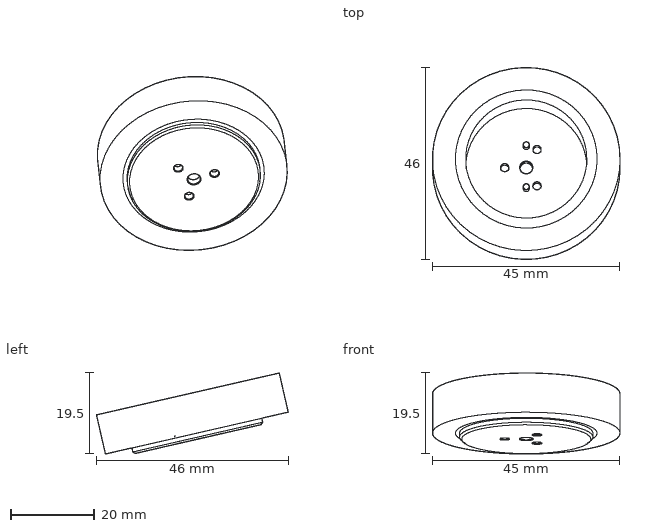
import cadquery as cq

tilt_angle = -12.9

ring_diameter = 45.0
ring_height = 9.65

hub_diameter = 33.95
cup_diameter = 29.05
boss_diameter = 32.0
boss_height = 1.45
boss_chamfer = 0.5
floor_thickness = 2.0

center_hole_diameter = 3.0
center_hole_upper_chamfer = 0.1
hole_lower_chamfer = 0.2
circle_radius = 5.15
screw_hole_diameter = 2.0
screw_hole_count = 3
first_screw_hole_angle = 180.0
pin_diameter = 1.5
pin_height = 2.0
pin_chamfer = 0.1
pin_count = 2
first_pin_angle = 90.0

floor_level = floor_thickness - boss_height


def disc(diameter, height, base_level):
    """Upright cylinder on the wheel axis, standing on base_level."""
    return cq.Workplane("XY").workplane(offset=base_level).circle(diameter / 2).extrude(height)


def mouth(hole_diameter, chamfer):
    """Upward 45 degree taper, wide end at Z = 0, that chamfers the lower end of a hole."""
    hole_radius = hole_diameter / 2
    return cq.Workplane(cq.Solid.makeCone(hole_radius + chamfer, hole_radius, chamfer))


def through_hole(diameter):
    """Cutter on the wheel axis for a hole through the floor, chamfered at the underside."""
    lower_mouth = mouth(diameter, hole_lower_chamfer).translate((0, 0, -boss_height))
    return disc(diameter, floor_thickness, -boss_height).union(lower_mouth)


def make_ring():
    """Plain ring whose bore matches the hub; its underside lies at Z = 0."""
    bore = disc(hub_diameter, ring_height, 0)
    return disc(ring_diameter, ring_height, 0).cut(bore)


def make_pins():
    """Two pins standing on the cup floor, each with a chamfered tip."""
    return (
        cq.Workplane("XY")
        .workplane(offset=floor_level)
        .polarArray(circle_radius, first_pin_angle, 360, pin_count)
        .circle(pin_diameter / 2)
        .extrude(pin_height)
        .faces(">Z")
        .chamfer(pin_chamfer)
    )


def cut_center_hole(hub):
    """Through hole on the axis, chamfered at both ends."""
    upper_mouth = mouth(center_hole_diameter, center_hole_upper_chamfer).mirror("XY")
    return hub.cut(through_hole(center_hole_diameter)).cut(upper_mouth.translate((0, 0, floor_level)))


def cut_screw_holes(hub):
    """Evenly spaced through holes around the axis."""
    cutter = through_hole(screw_hole_diameter).translate((circle_radius, 0, 0))
    for index in range(screw_hole_count):
        angle = first_screw_hole_angle + index * 360 / screw_hole_count
        hub = hub.cut(cutter.rotate((0, 0, 0), (0, 0, 1), angle))
    return hub


def make_hub():
    """Cup with a chamfered boss below, holes through its floor and two pins."""
    boss = disc(boss_diameter, boss_height, -boss_height).faces("<Z").chamfer(boss_chamfer)
    cup = disc(cup_diameter, ring_height - floor_level, floor_level)
    hub = disc(hub_diameter, ring_height, 0).union(boss).cut(cup)
    return cut_screw_holes(cut_center_hole(hub)).union(make_pins())


def tip(body):
    """Lean the wheel axis toward +Y."""
    return body.rotate((0, 0, 0), (1, 0, 0), tilt_angle)


ring = tip(make_ring())
hub = tip(make_hub())

result = cq.Compound.makeCompound([ring.val(), hub.val()])